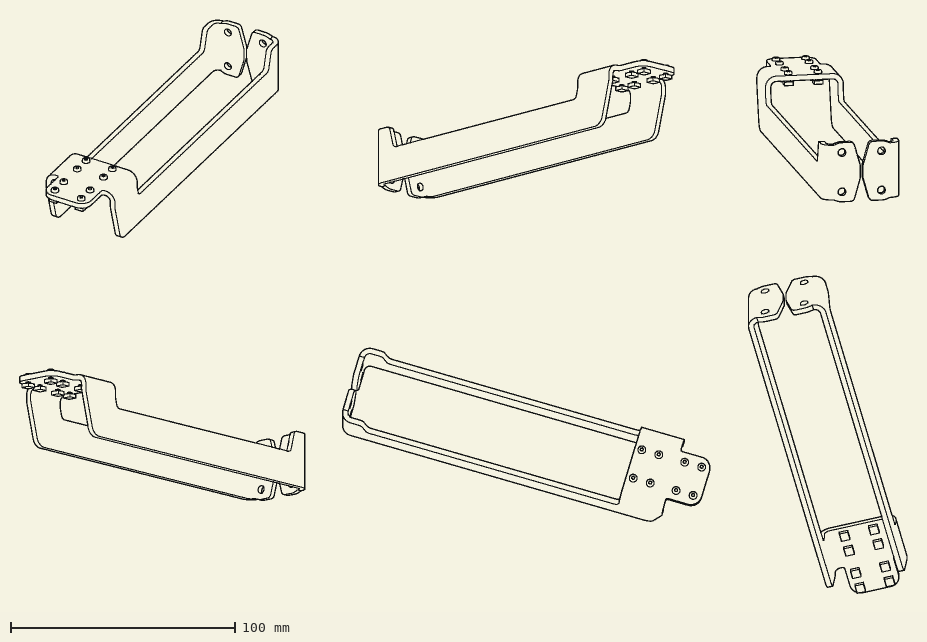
import cadquery as cq
import math


length = 165.0
half_width = 35.5 / 2
overall_height = 29.9
sheet = 2.5
bend_radius = 5.0
inner_bend_radius = bend_radius - sheet
bend_line_x = half_width - bend_radius
small_round = 2.0
large_round = 5.0

ear_top = 27.0
ear_step = 1.0
wall_bottom = ear_step
rear_wall_top = ear_top - ear_step
strap_height = 15.0
strap_top = wall_bottom + strap_height
plate_top = 28.5
plate_bottom = plate_top - sheet
bend_line_z = plate_top - bend_radius
taper_start_z = 20.6
taper_angle = 15
taper = math.tan(math.radians(taper_angle))

tab_front = 15.0
tab_rear = 35.0
rear_bend_y = length - bend_radius
rear_wall_length = 9.9
rear_slope_top_y = length - rear_wall_length

tongue_half_width = 11.2
tongue_inner_round = 1.0

ear_gap = 1.3
ear_flat_height = 6.1
ear_inner_corner_x = 3.6
ear_outer_corner_x = 10.2
ear_hole_diameter = 3.5
ear_hole_spacing = 18.0
ear_hole_x = ear_hole_spacing / 2

screw_x = 6.8
screw_rows = [3.8, 11.7, 23.8, 31.7]
head_diameter = 3.5
head_height = overall_height - plate_top
head_round = 0.9
socket_across_corners = 1.5
socket_depth = 0.8
shank_diameter = 2.0
nut_gap = 0.8
nut_width = 4.0
nut_height = 1.6


def rounded_outline(plane, corners):
    """Closed outline from (u, v, radius) corners; a radius of 0 leaves the corner sharp."""
    outline = cq.Workplane(plane)
    for i, (u, v, radius) in enumerate(corners):
        before = cq.Vector(*corners[i - 1][:2])
        after = cq.Vector(*corners[(i + 1) % len(corners)][:2])
        corner = cq.Vector(u, v)
        to_before = (before - corner).normalized()
        to_after = (after - corner).normalized()
        half_angle = to_before.getAngle(to_after) / 2
        setback = radius / math.tan(half_angle)
        start = corner + to_before * setback
        outline = outline.moveTo(start.x, start.y) if i == 0 else outline.lineTo(start.x, start.y)
        if radius > 0:
            bisector = (to_before + to_after).normalized()
            middle = corner + bisector * (radius / math.sin(half_angle) - radius)
            end = corner + to_after * setback
            outline = outline.threePointArc((middle.x, middle.y), (end.x, end.y))
    return outline.close()


def quarter_bend(plane, center):
    """Outline of a sheet bend: the u > 0, v > 0 quarter of a ring around `center`."""
    outer_middle = bend_radius * math.sqrt(0.5)
    inner_middle = inner_bend_radius * math.sqrt(0.5)
    return (
        cq.Workplane(plane)
        .center(*center)
        .moveTo(bend_radius, 0)
        .threePointArc((outer_middle, outer_middle), (0, bend_radius))
        .lineTo(0, inner_bend_radius)
        .threePointArc((inner_middle, inner_middle), (inner_bend_radius, 0))
        .close()
    )


def side_wall():
    front_bottom_y = tab_front + taper * (taper_start_z - wall_bottom)
    tab_foot_y = tab_rear + taper * (taper_start_z - strap_top)
    rear_slope_foot_y = rear_slope_top_y - taper * (rear_wall_top - strap_top)
    profile = rounded_outline("YZ", [
        (front_bottom_y, wall_bottom, large_round),
        (tab_front, taper_start_z, large_round),
        (tab_front, bend_line_z, 0),
        (tab_rear, bend_line_z, 0),
        (tab_rear, taper_start_z, large_round),
        (tab_foot_y, strap_top, small_round),
        (rear_slope_foot_y, strap_top, small_round),
        (rear_slope_top_y, rear_wall_top, small_round),
        (rear_bend_y, rear_wall_top, 0),
        (rear_bend_y, wall_bottom, 0),
    ])
    return profile.extrude(sheet).translate((half_width - sheet, 0, 0))


def rear_bend():
    bend = quarter_bend("XY", (bend_line_x, rear_bend_y)).extrude(rear_wall_top - wall_bottom)
    return bend.translate((0, 0, wall_bottom))


def top_bend():
    bend = quarter_bend("XZ", (bend_line_x, bend_line_z)).extrude(tab_rear - tab_front)
    return bend.translate((0, tab_rear, 0))


def ear():
    middle_z = ear_top / 2
    flat_bottom = middle_z - ear_flat_height / 2
    flat_top = middle_z + ear_flat_height / 2
    plate = rounded_outline("XZ", [
        (ear_gap / 2, flat_bottom, 0),
        (ear_gap / 2, flat_top, 0),
        (ear_inner_corner_x, ear_top, small_round),
        (ear_outer_corner_x, ear_top, large_round),
        (bend_line_x, rear_wall_top, 0),
        (bend_line_x, wall_bottom, 0),
        (ear_outer_corner_x, 0, large_round),
        (ear_inner_corner_x, 0, small_round),
    ]).extrude(sheet)
    holes = (
        cq.Workplane("XZ")
        .center(ear_hole_x, middle_z)
        .rarray(1.6, ear_hole_spacing, 1, 2)
        .circle(ear_hole_diameter / 2)
        .extrude(sheet)
    )
    return plate.cut(holes).translate((0, length, 0))


def top_plate():
    half_outline = [
        (tongue_half_width, 0, large_round),
        (tongue_half_width, tab_front, tongue_inner_round),
        (bend_line_x, tab_front, 0),
        (bend_line_x, tab_rear, 0),
    ]
    other_half = [(-x, y, radius) for x, y, radius in reversed(half_outline)]
    plate = rounded_outline("XY", half_outline + other_half).extrude(sheet)
    return plate.translate((0, 0, plate_bottom))


def screw():
    """Button-head screw with a hex socket and a square nut, with its head seated at z = 0."""
    head = cq.Workplane("XY").circle(head_diameter / 2).extrude(head_height)
    head = head.faces(">Z").edges().fillet(head_round)
    socket = cq.Workplane("XY").polygon(6, socket_across_corners).extrude(socket_depth)
    head = head.cut(socket.translate((0, 0, head_height - socket_depth)))
    nut_bottom = -(sheet + nut_gap + nut_height)
    shank = cq.Workplane("XY").circle(shank_diameter / 2).extrude(nut_bottom)
    nut = cq.Workplane("XY").rect(nut_width, nut_width).extrude(nut_height)
    return head.union(shank).union(nut.translate((0, 0, nut_bottom)))


half_frame = side_wall().union(rear_bend()).union(top_bend()).union(ear())
result = top_plate().union(half_frame).union(half_frame.mirror("YZ"))
for screw_y in screw_rows:
    for side in (-1, 1):
        result = result.union(screw().translate((side * screw_x, screw_y, plate_top)))